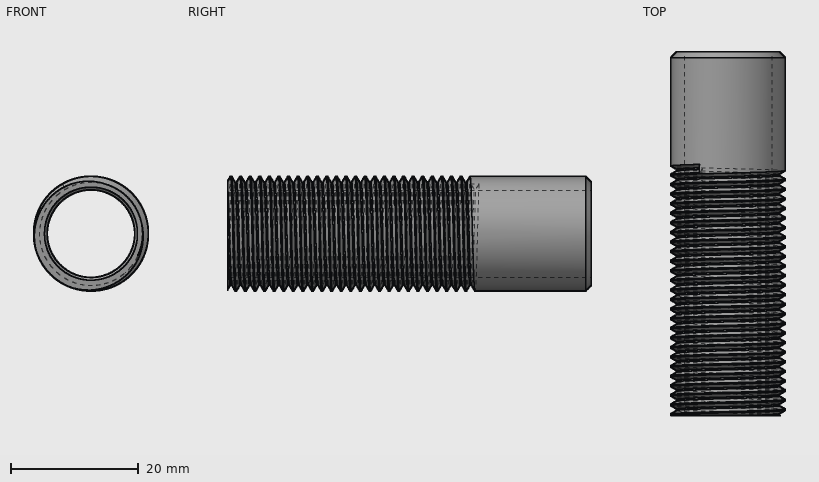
import cadquery as cq
import math

length = 57.0
major_diameter = 18.0
bore_diameter = 13.7
bore_chamfer = 0.45
head_chamfer = 0.9

pitch = major_diameter / 12
flank_angle = 30.0
sharp_height = pitch * math.sqrt(3) / 2
thread_depth = sharp_height * 17 / 24
crest_width = pitch / 8

thread_start = 18.3
thread_start_angle = 120.0

major_radius = major_diameter / 2
root_radius = major_radius - thread_depth


def make_tube():
    """Bored cylinder on Z: head end at z = 0, open threaded end at z = length."""
    outer = cq.Workplane("XY").circle(major_radius).extrude(length)
    outer = outer.faces("<Z").chamfer(head_chamfer)
    bored = outer.faces(">Z").workplane().hole(bore_diameter)
    bore_edge = cq.selectors.RadiusNthSelector(0)
    return bored.faces(">Z").edges(bore_edge).chamfer(bore_chamfer)


def make_thread_groove():
    """Right-handed V groove that begins abruptly and runs out of the open end."""
    clearance = 0.1
    slope = math.tan(math.radians(flank_angle))
    crest_half_gap = (pitch - crest_width) / 2
    root_half_width = crest_half_gap - thread_depth * slope
    outer_half_width = crest_half_gap + clearance * slope
    outer_radius = major_radius + clearance
    corners = [
        (root_radius, -root_half_width),
        (outer_radius, -outer_half_width),
        (outer_radius, outer_half_width),
        (root_radius, root_half_width),
    ]
    groove_length = length - thread_start + pitch
    helices = [
        cq.Wire.makeHelix(pitch, groove_length, radius, center=cq.Vector(0, 0, offset))
        for radius, offset in corners
    ]
    faces = []
    for index, helix in enumerate(helices):
        strip = cq.Face.makeRuledSurface(helices[index - 1], helix)
        faces.extend(strip.Faces())
    start_cap = cq.Workplane("XZ").polyline(corners).close()
    start_face = cq.Face.makeFromWires(start_cap.wires().val())
    turn = 360 * groove_length / pitch
    end_face = start_face.rotate(cq.Vector(), cq.Vector(0, 0, 1), turn)
    end_face = end_face.translate(cq.Vector(0, 0, groove_length))
    groove = cq.Solid.makeSolid(cq.Shell.makeShell(faces + [start_face, end_face]))
    groove = groove.rotate(cq.Vector(), cq.Vector(0, 0, 1), thread_start_angle)
    return cq.Workplane(groove.translate(cq.Vector(0, 0, thread_start)))


threaded_tube = make_tube().cut(make_thread_groove())
result = threaded_tube.rotate((0, 0, 0), (1, 0, 0), 90)